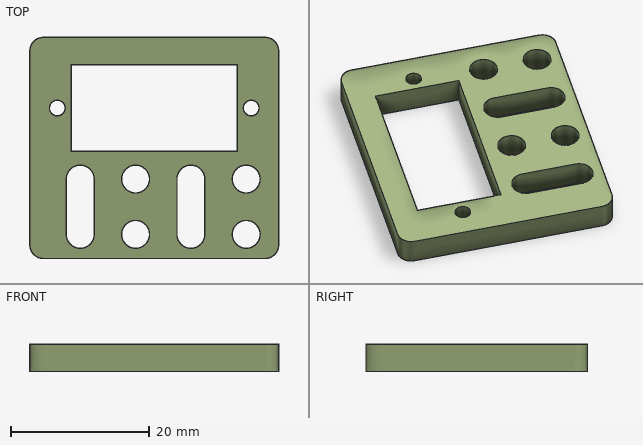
import cadquery as cq

length = 36.0
width = 32.0
thickness = 4.0
corner_radius = 2.0

window_length = 23.98
window_width = 12.45
window_y = 5.75

screw_diameter = 2.25
screw_spacing = 28.0

hole_diameter = 4.0
pitch = 8.0
first_column_x = -10.7
upper_row_y = -4.5
lower_row_y = upper_row_y - pitch
slot_length = pitch + hole_diameter
slot_y = (upper_row_y + lower_row_y) / 2

slot_centers = [(first_column_x + column * pitch, slot_y) for column in (0, 2)]
hole_centers = [
    (first_column_x + column * pitch, row_y)
    for column in (1, 3)
    for row_y in (upper_row_y, lower_row_y)
]
screw_centers = [(side * screw_spacing / 2, window_y) for side in (-1, 1)]


def through_cutter():
    """Workplane on the underside of the plate, for sketching through cuts."""
    return cq.Workplane("XY").workplane(offset=-thickness / 2)


plate = cq.Workplane("XY").box(length, width, thickness).edges("|Z").fillet(corner_radius)

window = through_cutter().center(0, window_y).rect(window_length, window_width).extrude(thickness)
screw_holes = through_cutter().pushPoints(screw_centers).circle(screw_diameter / 2).extrude(thickness)
round_holes = through_cutter().pushPoints(hole_centers).circle(hole_diameter / 2).extrude(thickness)
slots = through_cutter().pushPoints(slot_centers).slot2D(slot_length, hole_diameter, 90).extrude(thickness)

result = plate.cut(window).cut(screw_holes).cut(round_holes).cut(slots)